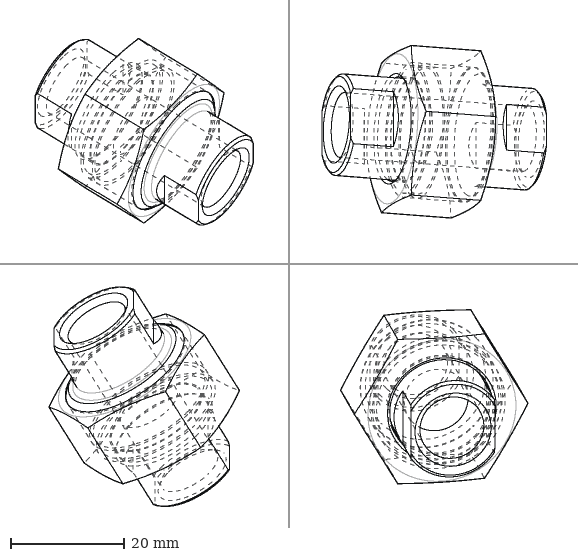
import cadquery as cq
import math

total_length = 36.5
nut_start = 10.5
nut_length = 14.5
nut_end = nut_start + nut_length

pipe_diameter = 18.0
bore_diameter = 11.45
bore_mouth_diameter = 13.65
bore_mouth_depth = 1.1
end_chamfer = 0.5
cutter_clearance = 0.2
pipe_radius = pipe_diameter / 2
bore_radius = bore_diameter / 2
bore_mouth_radius = bore_mouth_diameter / 2

nut_across_flats = 27.0
nut_face_diameter = 26.57
nut_corner_chamfer_length = 0.73
nut_lip_thickness = 2.92
nut_lip_diameter = 18.5
nut_lip_chamfer = 0.5
thread_diameter = 23.85
nut_across_corners = nut_across_flats / math.cos(math.radians(30))
nut_shoulder = nut_start + nut_lip_thickness

collar_diameter = 22.37
collar_thickness = 2.55
joint_face = nut_shoulder + collar_thickness
tail_flat_width = 15.0
tail_flat_length = 8.0
tail_flat_runout_angle = 15.0

shoulder_overhang = 0.95
shoulder_end = nut_end + shoulder_overhang
shoulder_end_diameter = 21.6
shoulder_cone_length = 1.25
shoulder_fillet = 0.9
threaded_flat_width = 16.0
threaded_flat_length = 7.5
threaded_flat_runout_angle = 45.0


def revolve_about_x(profile):
    """Revolve a closed XY profile a full turn about the X axis."""
    return profile.revolve(360, (0, 0, 0), (1, 0, 0))


def wrench_flats(end_x, direction, length, width, runout_angle):
    """Two cutters for flats facing -Y and +Y, running from end_x and sloping out of the pipe."""
    outside = pipe_radius + cutter_clearance
    flat_end = end_x + direction * length
    runout = (outside - width / 2) * math.tan(math.radians(runout_angle))
    cutter = (
        cq.Workplane("XY")
        .moveTo(end_x, width / 2)
        .lineTo(flat_end, width / 2)
        .lineTo(flat_end + direction * runout, outside)
        .lineTo(end_x, outside)
        .close()
        .extrude(pipe_radius, both=True)
    )
    return cutter.union(cutter.mirror("XZ"))


def make_nut():
    corner_radius = nut_across_corners / 2
    face_radius = nut_face_diameter / 2
    lip_radius = nut_lip_diameter / 2
    thread_radius = thread_diameter / 2
    hexagon = (
        cq.Workplane("YZ")
        .workplane(offset=nut_start)
        .polygon(6, nut_across_corners)
        .extrude(nut_length)
    )
    chamfered_ring = revolve_about_x(
        cq.Workplane("XY")
        .moveTo(nut_start, lip_radius + nut_lip_chamfer)
        .lineTo(nut_start, face_radius)
        .lineTo(nut_start + nut_corner_chamfer_length, corner_radius)
        .lineTo(nut_end - nut_corner_chamfer_length, corner_radius)
        .lineTo(nut_end, face_radius)
        .lineTo(nut_end, thread_radius)
        .lineTo(nut_shoulder, thread_radius)
        .lineTo(nut_shoulder, lip_radius)
        .lineTo(nut_start + nut_lip_chamfer, lip_radius)
        .close()
    )
    return hexagon.intersect(chamfered_ring)


def make_tail_piece():
    collar_radius = collar_diameter / 2
    body = revolve_about_x(
        cq.Workplane("XY")
        .moveTo(0, bore_mouth_radius)
        .lineTo(0, pipe_radius - end_chamfer)
        .lineTo(end_chamfer, pipe_radius)
        .lineTo(nut_shoulder, pipe_radius)
        .lineTo(nut_shoulder, collar_radius)
        .lineTo(joint_face, collar_radius)
        .lineTo(joint_face, bore_radius)
        .lineTo(bore_mouth_depth, bore_radius)
        .close()
    )
    return body.cut(wrench_flats(0, 1, tail_flat_length, tail_flat_width, tail_flat_runout_angle))


def make_threaded_piece():
    body = revolve_about_x(
        cq.Workplane("XY")
        .moveTo(joint_face, bore_radius)
        .lineTo(joint_face, thread_diameter / 2)
        .lineTo(shoulder_end - shoulder_cone_length, thread_diameter / 2)
        .lineTo(shoulder_end, shoulder_end_diameter / 2)
        .lineTo(shoulder_end, pipe_radius + shoulder_fillet)
        .radiusArc((shoulder_end + shoulder_fillet, pipe_radius), -shoulder_fillet)
        .lineTo(total_length - end_chamfer, pipe_radius)
        .lineTo(total_length, pipe_radius - end_chamfer)
        .lineTo(total_length, bore_mouth_radius)
        .lineTo(total_length - bore_mouth_depth, bore_radius)
        .close()
    )
    flats = wrench_flats(
        total_length, -1, threaded_flat_length, threaded_flat_width, threaded_flat_runout_angle
    )
    return body.cut(flats)


nut = make_nut()
tail_piece = make_tail_piece()
threaded_piece = make_threaded_piece()

result = cq.Compound.makeCompound([nut.val(), tail_piece.val(), threaded_piece.val()])